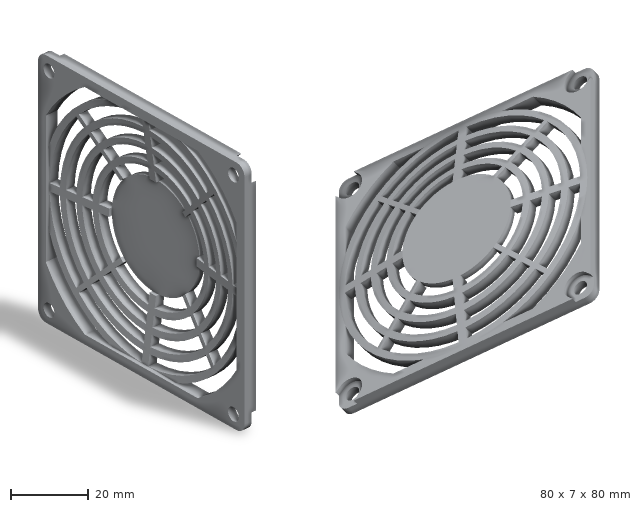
import cadquery as cq
import math

SIDE = 80.0
CORNER_RADIUS = 3.0
FRAME_DEPTH = 4.0
RIM_WIDTH = 3.0
INNER_SIDE = SIDE - 2 * RIM_WIDTH
OPENING_RADIUS = 43.0

HOLE_SPACING = 71.5
HOLE_DIAMETER = 4.2
RELIEF_RADIUS = 4.0
RELIEF_FLOOR = 2.5

TOTAL_DEPTH = 7.0
DISC_THICKNESS = 2.0
CONE_DEPTH = 3.0
DISC_RADIUS = 17.0
RING_COUNT = 4
RING_WIDTH = 2.0
RING_GAP = 3.5
RING_PITCH = RING_WIDTH + RING_GAP
GRILLE_RADIUS = DISC_RADIUS + RING_COUNT * RING_PITCH

MAIN_SPOKE_WIDTH = 2.5
DIAGONAL_SPOKE_WIDTH = 1.5

HALF_TURN = 180
QUARTER_TURN = 90
DIAGONAL_ANGLE = 45


def block(width, height, start, end):
    """Box centred on the Y axis, running from Y = start to Y = end."""
    return cq.Workplane("XY").box(width, end - start, height).translate((0, (start + end) / 2, 0))


def disc(radius, start, end):
    """Cylinder about the Y axis, running from Y = start to Y = end."""
    return cq.Workplane("XZ", origin=(0, start, 0)).circle(radius).extrude(start - end)


def at_corners(body):
    """Four copies of a body built for the +X, +Z corner, turned about the Y axis."""
    copies = cq.Workplane("XY")
    for angle in range(0, 2 * HALF_TURN, QUARTER_TURN):
        copies = copies.add(body.rotate((0, 0, 0), (0, 1, 0), angle))
    return copies.combine()


def make_corner_relief():
    """Round-ended slot centred on the hole, running out diagonally past the corner."""
    length = SIDE / 2
    hole_distance = HOLE_SPACING / math.sqrt(2)
    round_end = disc(RELIEF_RADIUS, RELIEF_FLOOR, FRAME_DEPTH)
    channel = block(length, 2 * RELIEF_RADIUS, RELIEF_FLOOR, FRAME_DEPTH).translate((length / 2, 0, 0))
    slot = round_end.union(channel).translate((hole_distance, 0, 0))
    return slot.rotate((0, 0, 0), (0, 1, 0), DIAGONAL_ANGLE)


def make_frame():
    """Rounded square plate with a clipped round opening, holes and corner reliefs."""
    plate = block(SIDE, SIDE, 0, FRAME_DEPTH).edges("|Y").fillet(CORNER_RADIUS)
    opening = block(INNER_SIDE, INNER_SIDE, 0, FRAME_DEPTH).intersect(disc(OPENING_RADIUS, 0, FRAME_DEPTH))
    hole = disc(HOLE_DIAMETER / 2, 0, FRAME_DEPTH).translate((HOLE_SPACING / 2, 0, HOLE_SPACING / 2))
    return plate.cut(opening).cut(at_corners(hole)).cut(at_corners(make_corner_relief()))


def make_dome():
    """Flat disc running into a shallow cone that is deeper than the disc is thick."""
    profile = [
        (0, TOTAL_DEPTH),
        (DISC_RADIUS, TOTAL_DEPTH),
        (GRILLE_RADIUS, FRAME_DEPTH),
        (GRILLE_RADIUS, FRAME_DEPTH - CONE_DEPTH),
        (DISC_RADIUS, TOTAL_DEPTH - CONE_DEPTH),
        (DISC_RADIUS, TOTAL_DEPTH - DISC_THICKNESS),
        (0, TOTAL_DEPTH - DISC_THICKNESS),
    ]
    return cq.Workplane("XY").polyline(profile).close().revolve(2 * HALF_TURN, (0, 0, 0), (0, 1, 0))


def make_grille_pattern():
    """Disc, rings and spokes as straight prisms through the whole depth."""
    pattern = disc(DISC_RADIUS, 0, TOTAL_DEPTH)
    for index in range(1, RING_COUNT + 1):
        outer = DISC_RADIUS + index * RING_PITCH
        ring = disc(outer, 0, TOTAL_DEPTH).cut(disc(outer - RING_WIDTH, 0, TOTAL_DEPTH))
        pattern = pattern.union(ring)
    spoke_length = 2 * GRILLE_RADIUS - RING_WIDTH
    for angle in range(0, HALF_TURN, DIAGONAL_ANGLE):
        width = DIAGONAL_SPOKE_WIDTH if angle % QUARTER_TURN else MAIN_SPOKE_WIDTH
        spoke = block(spoke_length, width, 0, TOTAL_DEPTH).rotate((0, 0, 0), (0, 1, 0), angle)
        pattern = pattern.union(spoke)
    return pattern


result = make_frame().union(make_dome().intersect(make_grille_pattern()))